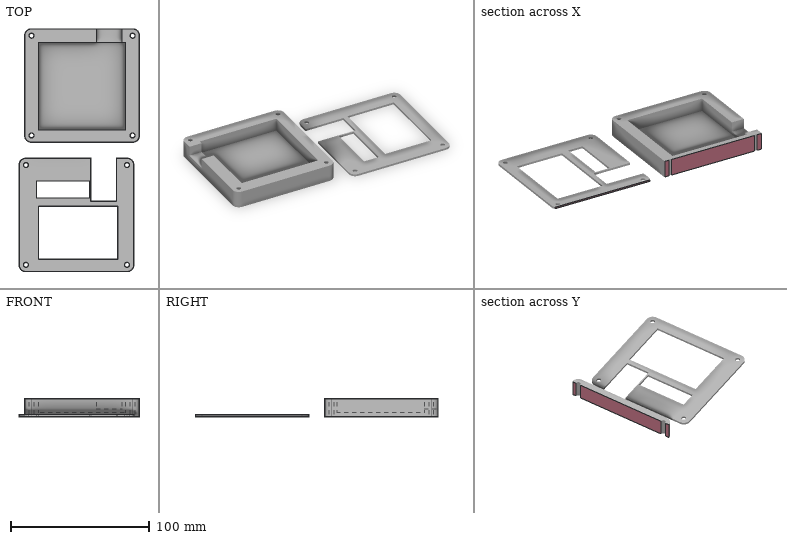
import cadquery as cq

width = 83.0
depth = 82.06
corner_radius = 5.0
hole_diameter = 3.4
hole_inset = corner_radius

case_height = 13.2
pocket_size = 63.0
pocket_left = (width - pocket_size) / 2
pocket_front = 9.0
pocket_depth = 10.1
notch_left = 51.9
notch_width = 18.5
notch_depth = 7.6

plate_thickness = 1.6
plate_shift_x = -4.04
plate_gap_y = 11.4
plate_shift_y = -(depth + plate_gap_y)
slot_front = 51.0

large_left = 14.1
large_front = 9.1
large_width = 57.1
large_depth = 38.1

small_width = 38.2
small_depth = 12.0
strip_width = 1.0
small_left = notch_left - strip_width - small_width
small_front = 53.4


def block(left, front, bottom, size_x, size_y, size_z):
    """Box located by its left, front, bottom corner."""
    box = cq.Workplane("XY").box(size_x, size_y, size_z, centered=False)
    return box.translate((left, front, bottom))


def drilled_slab(thickness):
    """Rounded slab with a through hole concentric with each corner."""
    slab = block(0, 0, 0, width, depth, thickness).edges("|Z").fillet(corner_radius)
    hole_centers = [
        (x, y)
        for x in (hole_inset, width - hole_inset)
        for y in (hole_inset, depth - hole_inset)
    ]
    holes = (
        cq.Workplane("XY")
        .pushPoints(hole_centers)
        .circle(hole_diameter / 2)
        .extrude(thickness)
    )
    return slab.cut(holes)


def make_case():
    pocket_floor = case_height - pocket_depth
    pocket = block(pocket_left, pocket_front, pocket_floor, pocket_size, pocket_size, pocket_depth)

    pocket_back = pocket_front + pocket_size
    notch_floor = case_height - notch_depth
    back_wall = depth - pocket_back
    notch = block(notch_left, pocket_back, notch_floor, notch_width, back_wall, notch_depth)

    return drilled_slab(case_height).cut(pocket).cut(notch)


def make_cover_plate():
    large_window = block(large_left, large_front, 0, large_width, large_depth, plate_thickness)
    small_window = block(small_left, small_front, 0, small_width, small_depth, plate_thickness)

    slot = block(notch_left, slot_front, 0, notch_width, depth - slot_front, plate_thickness)

    plate = drilled_slab(plate_thickness).cut(large_window).cut(small_window).cut(slot)
    return plate.translate((plate_shift_x, plate_shift_y, 0))


case = make_case()
cover_plate = make_cover_plate()

result = cq.Compound.makeCompound([case.val(), cover_plate.val()])